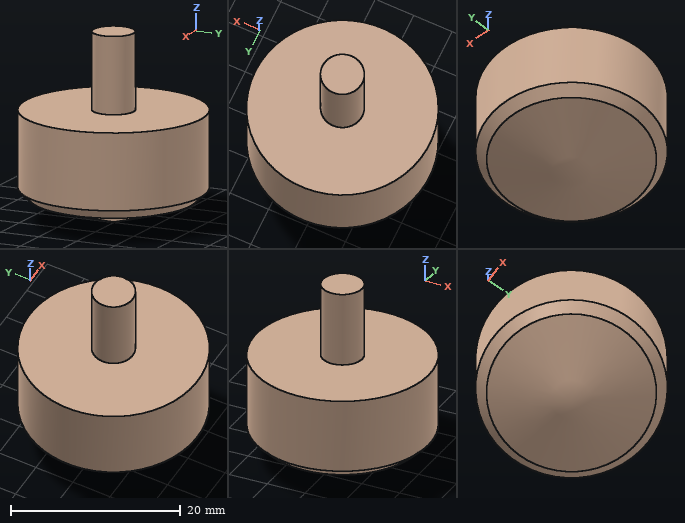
import cadquery as cq

total_height = 23.3
body_diameter = 22.7
stem_diameter = 5.2

stem_length = 9.55
body_length = 9.48
bevel_height = 1.23
bevel_width = 1.3

body_radius = body_diameter / 2
stem_radius = stem_diameter / 2
cone_radius = body_radius - bevel_width

body_top = total_height - stem_length
body_bottom = body_top - body_length
cone_top = body_bottom - bevel_height

profile = [
    (0, 0),
    (cone_radius, cone_top),
    (body_radius, body_bottom),
    (body_radius, body_top),
    (stem_radius, body_top),
    (stem_radius, total_height),
    (0, total_height),
]

result = cq.Workplane("XZ").polyline(profile).close().revolve(360, (0, 0), (0, 1))